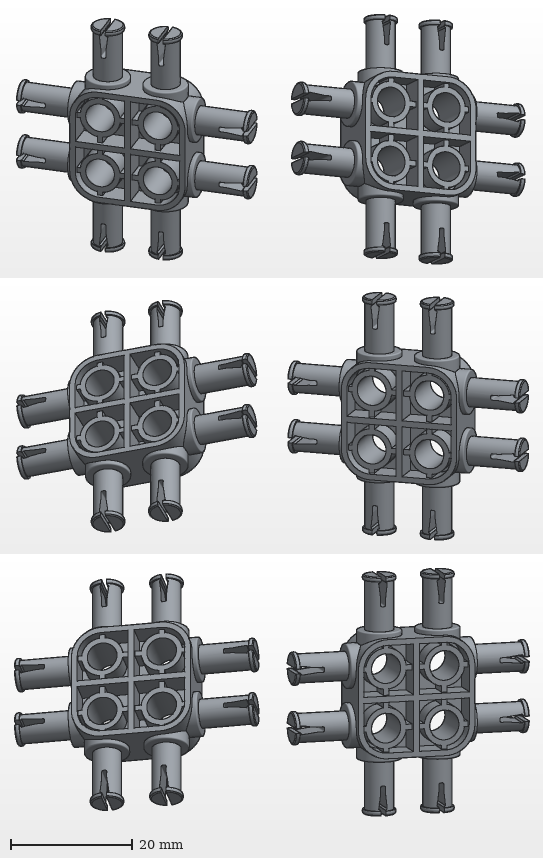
import cadquery as cq

OVERALL = 40.2
BODY_SIDE = 20.0
BODY_DEPTH = 10.0
CENTER = BODY_SIDE / 4
CORNER_RADIUS = CENTER

HOLE_DIAMETER = 5.0
WALL = 0.95
CROSS_RIB = 1.05
WEB = 0.95
RING_DIAMETER = 6.95
STUB_WIDTH = 0.92
RING_RECESS = 0.8

COLLAR_DIAMETER = 7.5
COLLAR_HEIGHT = 0.85
COLLAR_FILLET = 0.25
PIN_DIAMETER = 4.85
HEAD_DIAMETER = 5.6
HEAD_RIM_DIAMETER = 5.43
HEAD_TIP_DIAMETER = 5.0
HEAD_BEVEL_HEIGHT = 0.15
HEAD_THICKNESS = 0.8

SLOT_DEPTH = 5.02
SLOT_MOUTH_WIDTH = 0.85
SLOT_MOUTH_DEPTH = 0.92
SLOT_WIDE_WIDTH = 1.45
SLOT_WIDE_DEPTH = 1.15
SLOT_TAPER_DEPTH = 3.7
SLOT_END_WIDTH = 0.85
SLOT_END_RADIUS = 0.3

PIN_TIP = OVERALL / 2
COLLAR_TOP = BODY_SIDE / 2 + COLLAR_HEIGHT
POCKET_SIDE = (BODY_SIDE - 2 * WALL - CROSS_RIB) / 2
POCKET_CENTER = (CROSS_RIB + POCKET_SIDE) / 2
POCKET_DEPTH = (BODY_DEPTH - WEB) / 2
HOLE_CENTERS = [(x, z) for x in (-CENTER, CENTER) for z in (-CENTER, CENTER)]


def block(width, depth, height):
    """Box centered in X and Z, with its near face at Y = 0 and running toward +Y."""
    return cq.Workplane("XY").box(width, depth, height, centered=(True, False, True))


def make_body():
    return (
        cq.Workplane("XY")
        .box(BODY_SIDE, BODY_DEPTH, BODY_SIDE)
        .edges("|Y")
        .fillet(CORNER_RADIUS)
    )


def make_front_pockets():
    """Four pockets open toward -Y, each keeping a recessed tube with four stubs."""
    front = -BODY_DEPTH / 2
    squares = cq.Workplane("XY")
    tubes = cq.Workplane("XY")
    for x, z in HOLE_CENTERS:
        side_x = POCKET_CENTER if x > 0 else -POCKET_CENTER
        side_z = POCKET_CENTER if z > 0 else -POCKET_CENTER
        pocket = block(POCKET_SIDE, POCKET_DEPTH, POCKET_SIDE).translate((side_x, front, side_z))
        squares = squares.add(pocket)

        tube_depth = POCKET_DEPTH - RING_RECESS
        tube = cq.Workplane("XZ").circle(RING_DIAMETER / 2).extrude(-tube_depth)
        tube = tube.union(block(BODY_SIDE / 2, tube_depth, STUB_WIDTH))
        tube = tube.union(block(STUB_WIDTH, tube_depth, BODY_SIDE / 2))
        tubes = tubes.add(tube.translate((x, front + RING_RECESS, z)))

    inner_side = BODY_SIDE - 2 * WALL
    rounded_interior = (
        block(inner_side, BODY_DEPTH, inner_side)
        .edges("|Y")
        .fillet(CORNER_RADIUS - WALL)
        .translate((0, front, 0))
    )
    return squares.combine().intersect(rounded_interior).cut(tubes.combine())


def make_pin():
    """Collar, split shank and head along +Z, starting inside the body."""
    collar = (
        cq.Workplane("XY")
        .workplane(offset=CENTER)
        .circle(COLLAR_DIAMETER / 2)
        .extrude(COLLAR_TOP - CENTER)
        .faces(">Z")
        .edges()
        .fillet(COLLAR_FILLET)
    )
    shank = (
        cq.Workplane("XY")
        .workplane(offset=CENTER)
        .circle(PIN_DIAMETER / 2)
        .extrude(PIN_TIP - CENTER)
    )
    rim_radius = HEAD_RIM_DIAMETER / 2
    head_base = PIN_TIP - HEAD_THICKNESS
    rim_top = PIN_TIP - HEAD_BEVEL_HEIGHT
    head = (
        cq.Workplane("XZ")
        .moveTo(0, head_base)
        .lineTo(rim_radius, head_base)
        .threePointArc((HEAD_DIAMETER / 2, (head_base + rim_top) / 2), (rim_radius, rim_top))
        .lineTo(HEAD_TIP_DIAMETER / 2, PIN_TIP)
        .lineTo(0, PIN_TIP)
        .close()
        .revolve(360, (0, 0, 0), (0, 1, 0))
    )
    mouth = SLOT_MOUTH_WIDTH / 2
    wide = SLOT_WIDE_WIDTH / 2
    end = SLOT_END_WIDTH / 2
    end_flat = end - SLOT_END_RADIUS
    slot_bottom = PIN_TIP - SLOT_DEPTH
    taper_end = PIN_TIP - SLOT_TAPER_DEPTH
    slot = (
        cq.Workplane("XZ")
        .moveTo(-mouth, PIN_TIP)
        .lineTo(-mouth, PIN_TIP - SLOT_MOUTH_DEPTH)
        .lineTo(-wide, PIN_TIP - SLOT_WIDE_DEPTH)
        .lineTo(-end, taper_end)
        .lineTo(-end, slot_bottom + SLOT_END_RADIUS)
        .radiusArc((-end_flat, slot_bottom), -SLOT_END_RADIUS)
        .lineTo(end_flat, slot_bottom)
        .radiusArc((end, slot_bottom + SLOT_END_RADIUS), -SLOT_END_RADIUS)
        .lineTo(end, taper_end)
        .lineTo(wide, PIN_TIP - SLOT_WIDE_DEPTH)
        .lineTo(mouth, PIN_TIP - SLOT_MOUTH_DEPTH)
        .lineTo(mouth, PIN_TIP)
        .close()
        .extrude(HEAD_DIAMETER, both=True)
    )
    return collar.union(shank).union(head).cut(slot)


def make_pins():
    pin = make_pin()
    pins = cq.Workplane("XY")
    for quarter_turn in range(4):
        for offset in (-CENTER, CENTER):
            turned = pin.translate((offset, 0, 0)).rotate((0, 0, 0), (0, 1, 0), 90 * quarter_turn)
            pins = pins.add(turned)
    return pins.combine()


front_pockets = make_front_pockets()
holes = (
    cq.Workplane("XZ")
    .pushPoints(HOLE_CENTERS)
    .circle(HOLE_DIAMETER / 2)
    .extrude(BODY_DEPTH, both=True)
)

result = (
    make_body()
    .union(make_pins())
    .cut(front_pockets)
    .cut(front_pockets.mirror("XZ"))
    .cut(holes)
)